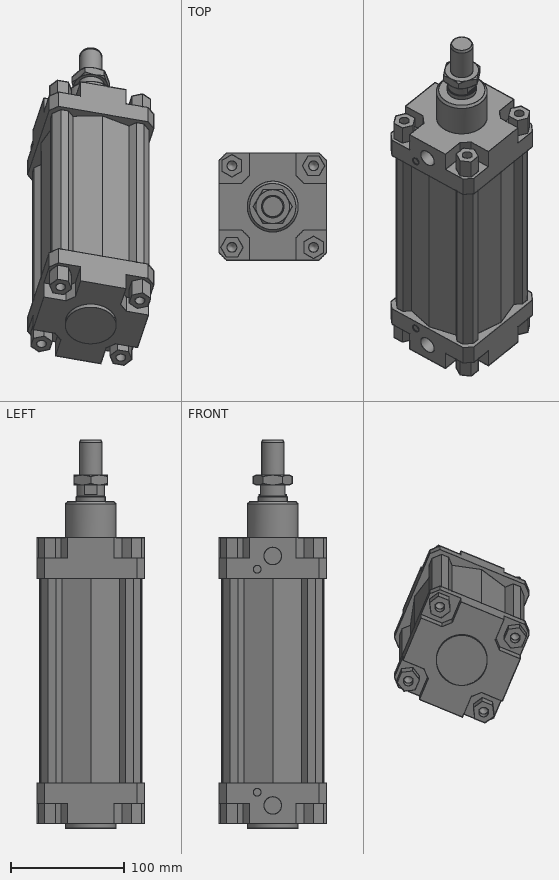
import cadquery as cq
import math

total_height = 343.0
spigot_height = 4.0
cap_height = 36.0
barrel_length = 180.5
boss_height = 32.0
boss_chamfer = 2.0

cap_width = 95.0
cap_corner_chamfer = 7.0
boss_diameter = 45.0
pocket_edge = 20.5
pocket_chamfer = 7.0
pocket_depth = 18.0

barrel_width = 88.0
ridge_rise = 1.0
barrel_corner_chamfer = 6.5
land_inner_end = 31.0
groove_depth = 5.5

tie_rod_offset = 36.0
tie_nut_across_flats = 17.0
tie_hole_diameter = 8.5
tie_hole_depth = 13.7
drill_point_angle = 118.0

port_diameter = 15.5
port_depth = 15.5
port_from_outer_face = 16.0
screw_diameter = 7.0
screw_depth = 1.0
screw_x = -13.7
screw_from_inner_face = 8.2

rod_diameter = 25.7
collar_height = 4.8
collar_chamfer = 0.7
neck_diameter = 24.7
flat_gap = 1.5
wrench_flats = 22.0
thread_diameter = 20.0
thread_chamfer_radial = 1.0
thread_chamfer_axial = 2.5

nut_across_flats = 30.0
nut_height = 8.5
nut_bottom = 303.2
nut_chamfer_angle = 30.0

lower_cap_bottom = spigot_height
barrel_bottom = lower_cap_bottom + cap_height
barrel_top = barrel_bottom + barrel_length
upper_cap_top = barrel_top + cap_height
boss_top = upper_cap_top + boss_height
mid_height = (barrel_bottom + barrel_top) / 2


def across_corners(across_flats):
    return across_flats / math.cos(math.radians(30))


def make_cap_block():
    """Upper cap: a chamfered square with a pocket cut into each corner."""
    block = (
        cq.Workplane("XY", origin=(0, 0, barrel_top))
        .rect(cap_width, cap_width)
        .extrude(cap_height)
        .edges("|Z")
        .chamfer(cap_corner_chamfer)
    )
    pocket_size = cap_width / 2
    pocket_center = pocket_edge + pocket_size / 2
    pocket = (
        cq.Workplane("XY", origin=(pocket_center, pocket_center, upper_cap_top - pocket_depth))
        .rect(pocket_size, pocket_size)
        .extrude(pocket_depth)
        .edges("|Z and <X and <Y")
        .chamfer(pocket_chamfer)
    )
    for quarter in range(4):
        block = block.cut(pocket.rotate((0, 0, 0), (0, 0, 1), 90 * quarter))
    return block


def make_tie_nut():
    """Hexagonal tie-rod nut in the +X +Y pocket of the upper cap."""
    return (
        cq.Workplane("XY", origin=(tie_rod_offset, tie_rod_offset, upper_cap_top - pocket_depth))
        .polygon(6, across_corners(tie_nut_across_flats))
        .extrude(pocket_depth)
    )


def make_tie_hole():
    """Drilled hole with a conical end, in the +X +Y tie-rod nut."""
    radius = tie_hole_diameter / 2
    point_depth = radius / math.tan(math.radians(drill_point_angle / 2))
    return (
        cq.Workplane("XZ")
        .polyline([
            (0, 0),
            (radius, 0),
            (radius, -tie_hole_depth),
            (0, -tie_hole_depth - point_depth),
        ])
        .close()
        .revolve(360, (0, 0, 0), (0, 1, 0))
        .translate((tie_rod_offset, tie_rod_offset, upper_cap_top))
    )


def make_side_hole(x, z, diameter, depth):
    """Cutter for a blind round hole in the -Y side of a cap."""
    return (
        cq.Workplane("XZ", origin=(x, -cap_width / 2, z))
        .circle(diameter / 2)
        .extrude(-depth)
    )


def make_upper_cap():
    cap = make_cap_block()
    nut = make_tie_nut()
    hole = make_tie_hole()
    for quarter in range(4):
        angle = 90 * quarter
        cap = cap.union(nut.rotate((0, 0, 0), (0, 0, 1), angle))
        cap = cap.cut(hole.rotate((0, 0, 0), (0, 0, 1), angle))
    port_z = upper_cap_top - port_from_outer_face
    screw_z = barrel_top + screw_from_inner_face
    cap = cap.cut(make_side_hole(0, port_z, port_diameter, port_depth))
    return cap.cut(make_side_hole(screw_x, screw_z, screw_diameter, screw_depth))


def make_barrel():
    """Square barrel whose sides rise from two grooves to a shallow middle ridge."""
    half = barrel_width / 2
    side = [
        (-half + barrel_corner_chamfer, -half),
        (-land_inner_end, -half),
        (-land_inner_end + groove_depth, -half + groove_depth),
        (0, -half - ridge_rise),
        (land_inner_end - groove_depth, -half + groove_depth),
        (land_inner_end, -half),
        (half - barrel_corner_chamfer, -half),
    ]
    outline = []
    for _ in range(4):
        outline += side
        side = [(-y, x) for x, y in side]
    return cq.Workplane("XY", origin=(0, 0, barrel_bottom)).polyline(outline).close().extrude(barrel_length)


def make_housing():
    upper_cap = make_upper_cap()
    lower_cap = upper_cap.mirror("XY", (0, 0, mid_height))
    boss = (
        cq.Workplane("XY", origin=(0, 0, upper_cap_top))
        .circle(boss_diameter / 2)
        .extrude(boss_height)
        .faces(">Z")
        .chamfer(boss_chamfer)
    )
    spigot = cq.Workplane("XY").circle(boss_diameter / 2).extrude(spigot_height)
    return make_barrel().union(upper_cap).union(lower_cap).union(boss).union(spigot)


def make_rod():
    """Piston rod resting on the boss: collar, neck with two wrench flats, and thread."""
    rod_radius = rod_diameter / 2
    neck_radius = neck_diameter / 2
    thread_radius = thread_diameter / 2
    collar_top = boss_top + collar_height
    rod_body = (
        cq.Workplane("XZ")
        .polyline([
            (0, boss_top),
            (rod_radius, boss_top),
            (rod_radius, collar_top - collar_chamfer),
            (rod_radius - collar_chamfer, collar_top),
            (neck_radius, collar_top),
            (neck_radius, nut_bottom),
            (thread_radius, nut_bottom),
            (thread_radius, total_height - thread_chamfer_axial),
            (thread_radius - thread_chamfer_radial, total_height),
            (0, total_height),
        ])
        .close()
        .revolve(360, (0, 0, 0), (0, 1, 0))
    )
    flat_bottom = collar_top + flat_gap
    flat_height = nut_bottom - flat_bottom
    for side in (-1, 1):
        flat_cutter = (
            cq.Workplane("XY", origin=(side * (wrench_flats + rod_diameter) / 2, 0, flat_bottom))
            .rect(rod_diameter, rod_diameter)
            .extrude(flat_height)
        )
        rod_body = rod_body.cut(flat_cutter)
    return rod_body


def make_lock_nut():
    """Hexagonal nut whose corners are turned off by a cone at both ends."""
    corner_radius = across_corners(nut_across_flats) / 2
    flat_radius = nut_across_flats / 2
    chamfer_height = (corner_radius - flat_radius) * math.tan(math.radians(nut_chamfer_angle))
    hexagon = cq.Workplane("XY").polygon(6, 2 * corner_radius).extrude(nut_height)
    turned = (
        cq.Workplane("XZ")
        .polyline([
            (0, 0),
            (flat_radius, 0),
            (corner_radius, chamfer_height),
            (corner_radius, nut_height - chamfer_height),
            (flat_radius, nut_height),
            (0, nut_height),
        ])
        .close()
        .revolve(360, (0, 0, 0), (0, 1, 0))
    )
    bore = cq.Workplane("XY").circle(thread_diameter / 2).extrude(nut_height)
    return hexagon.intersect(turned).cut(bore).translate((0, 0, nut_bottom))


housing = make_housing()
rod = make_rod()
lock_nut = make_lock_nut()

result = cq.Compound.makeCompound([housing.val(), rod.val(), lock_nut.val()])